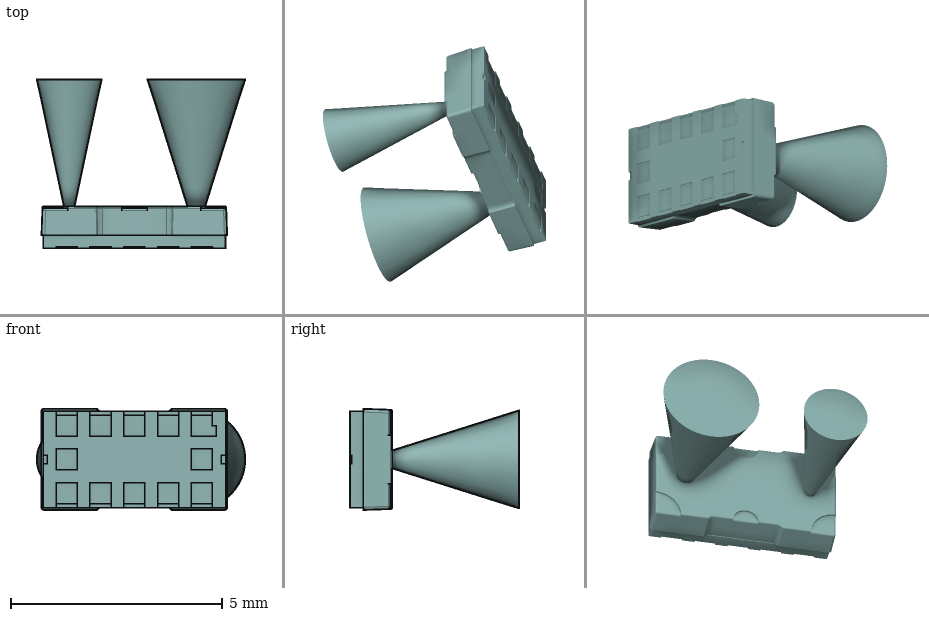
import cadquery as cq
import math

overall_depth = 4.0

substrate_length = 4.32
substrate_width = 2.29
substrate_thickness = 0.315
mask_thickness = 0.04
pad_thickness = 0.02
pad_size = 0.5
pad_pitch = 0.8
pad_columns = 5
pad_rows = 3
tab_length = 0.095
notch_length = 0.1
notch_width = 0.2

cap_length = 4.4
cap_width = 2.4
cap_thickness = 0.68
cap_draft = 2.0
corner_radius = 0.075
rim_radius = 0.045
recess_length = 1.51
recess_depth = 0.075
recess_run_out = 0.13
recess_edge_radius = 0.025
corner_relief_radius = 0.605
middle_relief_radius = 0.3
relief_depth = 0.05
cap_face_y = substrate_thickness + cap_thickness
cap_lean = cap_thickness * math.tan(math.radians(cap_draft))

emitter_cone = (-1.54, 0.13, 0.77)
receiver_cone = (1.465, 0.21, 1.16)


def box(length, depth, width, x, y, z):
    """Box centred on x and z that starts at y and runs toward +Y."""
    return cq.Workplane("XY").box(length, depth, width, centered=(True, False, True)).translate((x, y, z))


def looking_out(y):
    """Workplane at height y that faces +Y."""
    return cq.Workplane(cq.Plane(origin=(0, y, 0), xDir=(1, 0, 0), normal=(0, 1, 0)))


def pad_places():
    """Centres of the pads, which fill the border of the grid only."""
    last_column = (pad_columns - 1) // 2
    last_row = (pad_rows - 1) // 2
    places = []
    for column in range(-last_column, last_column + 1):
        for row in range(-last_row, last_row + 1):
            if abs(column) == last_column or abs(row) == last_row:
                places.append((column * pad_pitch, row * pad_pitch))
    return places


def with_raised_pad(body, x, z):
    """Open the mask over one pad and raise the pad; edge rows open out to the side."""
    opening = box(pad_size, mask_thickness, pad_size, x, 0, z)
    pad = box(pad_size, pad_thickness, pad_size, x, mask_thickness - pad_thickness, z)
    if z != 0:
        strip_width = substrate_width / 2 - abs(z)
        strip_z = math.copysign(abs(z) + strip_width / 2, z)
        opening = opening.union(box(pad_size, mask_thickness, strip_width, x, 0, strip_z))
    return body.cut(opening).union(pad)


def with_pin_one_tab(body):
    """Widen the inner half of the (+X, +Z) corner pad outward."""
    corner_x = pad_pitch * (pad_columns - 1) / 2
    corner_z = pad_pitch * (pad_rows - 1) / 2
    tab_x = corner_x + pad_size / 2 + tab_length / 2
    tab_z = corner_z - pad_size / 4
    pad_top = mask_thickness - pad_thickness
    return body.cut(box(tab_length, pad_top, pad_size / 2, tab_x, 0, tab_z))


def make_substrate():
    body = box(substrate_length, substrate_thickness, substrate_width, 0, 0, 0)
    for x, z in pad_places():
        body = with_raised_pad(body, x, z)
    body = with_pin_one_tab(body)
    for side in (-1, 1):
        notch_x = side * (substrate_length - notch_length) / 2
        body = body.cut(box(notch_length, mask_thickness, notch_width, notch_x, 0, 0))
    return body


def cap_outline():
    """Outline of the cap at the substrate, with a shallow recess in the middle of both long sides."""
    half_length = cap_length / 2
    outer = cap_width / 2
    floor = outer - recess_depth
    floor_end = recess_length / 2
    rise_end = floor_end + recess_run_out
    arc_radius = (recess_run_out**2 + recess_depth**2) / (2 * recess_depth)
    half_angle = math.asin(recess_run_out / arc_radius) / 2
    mid_x = floor_end + arc_radius * math.sin(half_angle)
    mid_z = floor + arc_radius * (1 - math.cos(half_angle))
    return (
        looking_out(substrate_thickness)
        .moveTo(-half_length, -outer)
        .lineTo(-rise_end, -outer)
        .threePointArc((-mid_x, -mid_z), (-floor_end, -floor))
        .lineTo(floor_end, -floor)
        .threePointArc((mid_x, -mid_z), (rise_end, -outer))
        .lineTo(half_length, -outer)
        .lineTo(half_length, outer)
        .lineTo(rise_end, outer)
        .threePointArc((mid_x, mid_z), (floor_end, floor))
        .lineTo(-floor_end, floor)
        .threePointArc((-mid_x, mid_z), (-rise_end, outer))
        .lineTo(-half_length, outer)
        .close()
    )


def face_reliefs():
    """Shallow round reliefs cut into the front face: one per corner, one per long side."""
    relief_plane = looking_out(cap_face_y - relief_depth)
    face_length = cap_length - 2 * cap_lean
    face_width = cap_width - 2 * cap_lean
    corners = relief_plane.rect(face_length, face_width, forConstruction=True).vertices()
    corner_cuts = corners.circle(corner_relief_radius).extrude(relief_depth)
    side_z = face_width / 2 - recess_depth
    sides = relief_plane.pushPoints([(0, -side_z), (0, side_z)])
    return corner_cuts.union(sides.circle(middle_relief_radius).extrude(relief_depth))


def slanted_edges(body, distance):
    """Edges that run along the cap's thickness at about this distance from the YZ plane."""
    centre_y = substrate_thickness + cap_thickness / 2

    def is_wanted(edge):
        centre = edge.Center()
        at_mid_thickness = abs(centre.y - centre_y) < cap_thickness / 4
        return at_mid_thickness and abs(abs(centre.x) - distance) < cap_lean

    return body.newObject([edge for edge in body.edges().vals() if is_wanted(edge)])


def relief_rim_edges(body):
    """Straight outer edges of the relief floors."""
    floor_y = cap_face_y - relief_depth

    def is_on_floor(edge):
        return abs(edge.Center().y - floor_y) < relief_depth / 10

    straight_edges = body.edges("#Y and %LINE").vals()
    return body.newObject([edge for edge in straight_edges if is_on_floor(edge)])


def make_cap():
    body = cap_outline().extrude(cap_thickness, taper=cap_draft)
    body = slanted_edges(body, cap_length / 2).fillet(corner_radius)
    body = slanted_edges(body, recess_length / 2 + recess_run_out).fillet(recess_edge_radius)
    body = body.faces(">Y").edges().fillet(rim_radius)
    body = body.cut(face_reliefs())
    return relief_rim_edges(body).fillet(rim_radius)


def make_cone(centre_x, narrow_radius, wide_radius):
    """Solid cone frustum standing on the cap, revolved about its +Y axis."""
    profile = [
        (cap_face_y, 0),
        (cap_face_y, narrow_radius),
        (overall_depth, wide_radius),
        (overall_depth, 0),
    ]
    cone = cq.Workplane("YZ").polyline(profile).close().revolve(360, (0, 0), (1, 0))
    return cone.translate((centre_x, 0, 0))


substrate = make_substrate()
cap = make_cap()
cones = [make_cone(*size) for size in (emitter_cone, receiver_cone)]

result = cq.Compound.makeCompound([substrate.val(), cap.val(), *[cone.val() for cone in cones]])